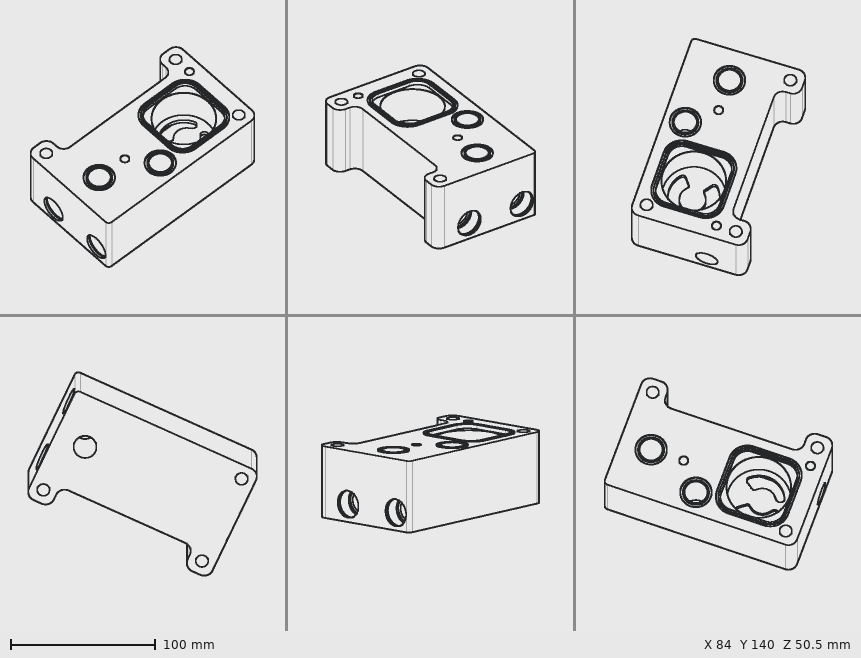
import cadquery as cq
import math

length_x = 84.0
length_y = 140.0
height = 50.5
ear_reach = 16.4
ear_width = 19.0
ear_radius = 6.5
front_corner_radius = 3.0

mount_hole_diameter = 8.5
mount_hole_inset = ear_width / 2
blind_hole_diameter = 6.0
blind_hole_depth = 16.8
corner_blind_hole_x = 23.7
middle_blind_hole_y = 46.6
drill_point_angle = 118.0
edge_chamfer = 0.21

port_diameter = 15.8
seal_outer_diameter = 22.0
seal_inner_diameter = 18.2
seal_depth = 0.7
main_axis_x = 49.5
through_port_y = 22.7
side_port_x = 68.6
side_port_y = 62.5
side_port_depth = 37.8

front_port_z = 12.6
through_front_port_x = 27.6
blind_front_port_x = 71.5
blind_front_port_depth = 71.4
socket_diameter = 19.0
socket_depth = 14.0
undercut_diameter = 19.7
ring_groove_start = 2.0
ring_groove_end = 2.7
inner_undercut_start = 11.9

recess_y = 101.8
recess_side = 45.9
recess_corner_radius = 10.0
recess_depth = 3.0
bore_diameter = 44.5
bore_floor_z = 22.1
square_seal_gap = 1.5
square_seal_width = 1.7

kidney_depth = 3.1
kidney_outer_radius = 17.9
kidney_waist_y = 2.7
kidney_waist_radius = 9.2
kidney_top_radius = 3.0
kidney_top_x = 6.0
kidney_heel_x = 7.0
kidney_heel_y = -5.9
kidney_heel_radius = 1.5
kidney_tip_radius = 2.5
kidney_tip_x = 11.5


def make_block():
    block = cq.Workplane("XY").box(length_x, length_y, height, centered=False)
    notch = (
        cq.Workplane("XY")
        .moveTo(0, ear_width)
        .rect(ear_reach, length_y - 2 * ear_width, centered=False)
        .extrude(height)
    )
    block = block.cut(notch)
    front_right = cq.selectors.NearestToPointSelector((length_x, 0, height / 2))
    block = block.edges(front_right).fillet(front_corner_radius)
    remaining = block.edges("|Z").filter(
        lambda edge: edge.Center().y > ear_radius or edge.Center().x < ear_reach
    )
    return remaining.fillet(ear_radius)


def cylinder_down(x, y, top_z, diameter, depth):
    return cq.Workplane("XY", origin=(x, y, top_z)).circle(diameter / 2).extrude(-depth)


def drill_tip_height(diameter):
    return diameter / 2 / math.tan(math.radians(drill_point_angle / 2))


def drilled_hole(start, direction, diameter, depth):
    """A blind hole with a conical end beyond the given full-diameter depth."""
    start = cq.Vector(*start)
    direction = cq.Vector(*direction)
    barrel = cq.Solid.makeCylinder(diameter / 2, depth, start, direction)
    tip_height = drill_tip_height(diameter)
    tip = cq.Solid.makeCone(diameter / 2, 0, tip_height, start + direction * depth, direction)
    return cq.Workplane(barrel.fuse(tip))


def edge_cone(x, y, z, diameter):
    """The chamfer around the mouth of a round hole in a horizontal face."""
    radius = diameter / 2
    return cq.Workplane(
        cq.Solid.makeCone(
            radius + edge_chamfer, radius, edge_chamfer, cq.Vector(x, y, z), cq.Vector(0, 0, -1)
        )
    )


def blind_hole(x, y):
    hole = drilled_hole((x, y, height), (0, 0, -1), blind_hole_diameter, blind_hole_depth)
    return hole.union(edge_cone(x, y, height, blind_hole_diameter))


def round_seal(x, y):
    """A ring groove with chamfered outer and inner rims."""
    outer = seal_outer_diameter / 2
    inner = seal_inner_diameter / 2
    c = edge_chamfer
    return (
        cq.Workplane("XZ", origin=(x, y, height))
        .polyline([
            (inner - c, 0), (inner, -c), (inner, -seal_depth),
            (outer - c, -seal_depth), (outer - c, -c), (outer, 0),
        ])
        .close()
        .revolve(360, (0, 0, 0), (0, 1, 0))
    )


def rounded_square(offset, top_z, depth, taper=0):
    """A square prism going down, grown outward from the recess outline by the offset."""
    side = recess_side + 2 * offset
    sketch = cq.Sketch().rect(side, side).vertices().fillet(recess_corner_radius + offset)
    plane = cq.Workplane("XY", origin=(main_axis_x, recess_y, top_z))
    return plane.placeSketch(sketch).extrude(-depth, taper=taper)


def square_seal():
    """A groove around the recess with chamfered outer and inner rims."""
    inner = square_seal_gap
    outer = inner + square_seal_width
    groove = rounded_square(outer - edge_chamfer, height, seal_depth)
    groove = groove.union(rounded_square(outer, height, edge_chamfer, taper=45))
    lip = rounded_square(inner, height - edge_chamfer, seal_depth - edge_chamfer)
    lip = lip.union(rounded_square(inner - edge_chamfer, height, edge_chamfer, taper=-45))
    return groove.cut(lip)


def tangent_ends(first, second):
    """End points of the line tangent to two circles (x, y, radius); clockwise ones have a negative radius."""
    x1, y1, r1 = first
    x2, y2, r2 = second
    distance = math.hypot(x2 - x1, y2 - y1)
    heading = math.atan2(y2 - y1, x2 - x1) - math.asin((r2 - r1) / distance)
    nx = -math.sin(heading)
    ny = math.cos(heading)
    return (x1 - r1 * nx, y1 - r1 * ny), (x2 - r2 * nx, y2 - r2 * ny)


def point_on_outer_arc(x, y):
    scale = kidney_outer_radius / math.hypot(x, y)
    return x * scale, y * scale


def arc_middle(circle, start, end):
    """Halfway point of the arc from start to end, turning the way the circle's sign tells."""
    x, y, r = circle
    a = math.atan2(start[1] - y, start[0] - x)
    b = math.atan2(end[1] - y, end[0] - x)
    turn = (b - a) % (2 * math.pi)
    if r < 0:
        turn -= 2 * math.pi
    return x + abs(r) * math.cos(a + turn / 2), y + abs(r) * math.sin(a + turn / 2)


def kidney():
    """The +X kidney pocket, going down from the origin plane with the bore axis at the origin."""
    top_y = math.sqrt((kidney_outer_radius - kidney_top_radius) ** 2 - kidney_top_x**2)
    tip_y = -math.sqrt((kidney_outer_radius - kidney_tip_radius) ** 2 - kidney_tip_x**2)
    top = (kidney_top_x, top_y, kidney_top_radius)
    waist = (0, kidney_waist_y, -kidney_waist_radius)
    heel = (kidney_heel_x, kidney_heel_y, kidney_heel_radius)
    tip = (kidney_tip_x, tip_y, kidney_tip_radius)
    outer = (0, 0, kidney_outer_radius)

    outer_start = point_on_outer_arc(kidney_tip_x, tip_y)
    outer_end = point_on_outer_arc(kidney_top_x, top_y)
    top_end, waist_start = tangent_ends(top, waist)
    waist_end, heel_start = tangent_ends(waist, heel)
    heel_end, tip_start = tangent_ends(heel, tip)
    return (
        cq.Workplane("XY")
        .moveTo(*outer_start)
        .threePointArc(arc_middle(outer, outer_start, outer_end), outer_end)
        .threePointArc(arc_middle(top, outer_end, top_end), top_end)
        .lineTo(*waist_start)
        .threePointArc(arc_middle(waist, waist_start, waist_end), waist_end)
        .lineTo(*heel_start)
        .threePointArc(arc_middle(heel, heel_start, heel_end), heel_end)
        .lineTo(*tip_start)
        .threePointArc(arc_middle(tip, tip_start, outer_start), outer_start)
        .close()
        .extrude(-kidney_depth)
    )


def front_cylinder(x, diameter, start, end):
    """A cylinder along +Y between two depths from the front face."""
    return cq.Workplane("XZ", origin=(x, start, front_port_z)).circle(diameter / 2).extrude(start - end)


def front_socket(x):
    """A socket with a thin retaining-ring groove near its mouth and an undercut at its bottom."""
    return (
        front_cylinder(x, socket_diameter, 0, socket_depth)
        .union(front_cylinder(x, undercut_diameter, ring_groove_start, ring_groove_end))
        .union(front_cylinder(x, undercut_diameter, inner_undercut_start, socket_depth))
    )


result = make_block()

far_x = length_x - mount_hole_inset
far_y = length_y - mount_hole_inset
for x, y in [(mount_hole_inset, mount_hole_inset), (mount_hole_inset, far_y), (far_x, far_y)]:
    result = result.cut(cylinder_down(x, y, height, mount_hole_diameter, height))

for x, y in [(corner_blind_hole_x, far_y), (main_axis_x, middle_blind_hole_y)]:
    result = result.cut(blind_hole(x, y))

result = result.cut(rounded_square(0, height, recess_depth))
result = result.cut(square_seal())
result = result.cut(
    cylinder_down(main_axis_x, recess_y, height, bore_diameter, height - bore_floor_z)
)
result = result.cut(edge_cone(main_axis_x, recess_y, height - recess_depth, bore_diameter))
right_kidney = kidney()
for pocket in [right_kidney, right_kidney.mirror("YZ")]:
    result = result.cut(pocket.translate((main_axis_x, recess_y, bore_floor_z)))

result = result.cut(cylinder_down(main_axis_x, through_port_y, height, port_diameter, height))
result = result.cut(
    drilled_hole((side_port_x, side_port_y, height), (0, 0, -1), port_diameter, side_port_depth)
)
for x, y in [(main_axis_x, through_port_y), (side_port_x, side_port_y)]:
    result = result.cut(round_seal(x, y))

result = result.cut(front_cylinder(through_front_port_x, port_diameter, 0, length_y))
result = result.cut(
    drilled_hole((blind_front_port_x, 0, front_port_z), (0, 1, 0), port_diameter, blind_front_port_depth)
)
for x in [through_front_port_x, blind_front_port_x]:
    result = result.cut(front_socket(x))